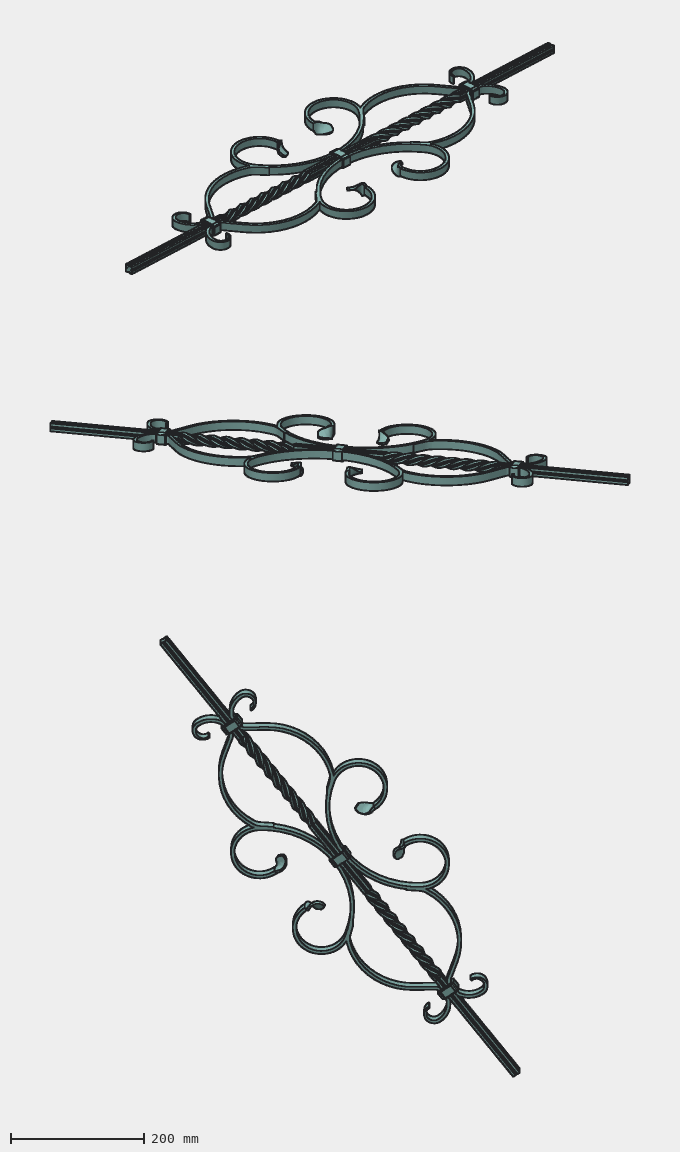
import cadquery as cq
import math

LENGTH = 900.0
WIDTH = 270.0

BAR_SIDE = 13.0
FLUTE_WIDTH = 4.0
FLUTE_DEPTH = 2.0
TWIST_START = 70.0
TWIST_LENGTH = 180.0
TWIST_TURNS = 2

STRIP_THICKNESS = 5.0
STRIP_HEIGHT = 13.5
STRIP_X = (BAR_SIDE + STRIP_THICKNESS) / 2

COLLAR_WIDTH = 30.0
COLLAR_HEIGHT = 20.0
COLLAR_BEVEL_WIDTH = 5.0
COLLAR_BEVEL_DEPTH = 3.0
END_COLLAR_RIM = 2.0
MIDDLE_COLLAR_LENGTH = 14.0
END_COLLAR_LENGTH = 16.0
END_COLLAR_Y = 275.0

SIDE_ARC_RADIUS = 135.0
SCROLL_RADIUS = 40.5
SCROLL_TURN = 270.0

LEAF_BEND_RADIUS = 22.0
LEAF_STATIONS = [(0, STRIP_HEIGHT, 0), (12, 21.0, 0), (35, 18.0, 40), (58, 16.0, 58), (75, 8.0, 62)]
LEAF_THICKNESS = 4.5

BULGE_START_Y = 267.0
BULGE_NECK_RADIUS = 8.0
BULGE_SLOPE = 55.0
BULGE_NECK_LENGTH = 32.0
BULGE_RADIUS = 99.0
BULGE_TURN = 78.0
BULGE_FOOT_RADIUS = 27.0
BULGE_FOOT_TURN = 27.0
BULGE_LAP_LENGTH = 20.0

CURL_START_Y = 286.0
CURL_NECK_RADIUS = 9.0
CURL_NECK_TURN = 30.0
CURL_SHOULDER_RADIUS = 34.0
CURL_RADIUS = 13.5
CURL_TURN = 185.0
CURL_END_THICKNESS = 3.0


def polar(center, radius, angle):
    """Point at a radius and an angle in degrees from a center."""
    turn = math.radians(angle)
    return (center[0] + radius * math.cos(turn), center[1] + radius * math.sin(turn))


def plate(outline):
    """Extrude a closed outline to the strip height, centered on Z = 0."""
    return outline.close().extrude(STRIP_HEIGHT / 2, both=True)


def straight(pose, length):
    """Straight strip from a pose (point, heading); returns the strip and its end pose."""
    point, heading = pose
    end = polar(point, length, heading)
    half = STRIP_THICKNESS / 2
    outline = cq.Workplane("XY").polyline([
        polar(point, half, heading + 90),
        polar(end, half, heading + 90),
        polar(end, half, heading - 90),
        polar(point, half, heading - 90),
    ])
    return plate(outline), (end, heading)


def bend(pose, radius, turn, thickness=STRIP_THICKNESS, end_thickness=STRIP_THICKNESS):
    """Strip bent to an arc, turning left for a positive turn; returns the strip and its end pose."""
    point, heading = pose
    side = math.copysign(90, turn)
    center = polar(point, radius, heading + side)
    first = heading - side
    angles = [first, first + turn / 2, first + turn]
    halves = [thickness / 2, (thickness + end_thickness) / 4, end_thickness / 2]
    outer = [polar(center, radius + half, angle) for half, angle in zip(halves, angles)]
    inner = [polar(center, radius - half, angle) for half, angle in zip(halves, angles)]
    outline = (
        cq.Workplane("XY")
        .moveTo(*outer[0])
        .threePointArc(outer[1], outer[2])
        .lineTo(*inner[2])
        .threePointArc(inner[1], inner[0])
    )
    return plate(outline), (polar(center, radius, angles[2]), heading + turn)


def leaf(pose):
    """Flared, twisted leaf that carries on from a strip end, turning right as it goes."""
    point, heading = pose
    center = polar(point, LEAF_BEND_RADIUS, heading - 90)
    sections = []
    for angle, width, twist in LEAF_STATIONS:
        place = polar(center, LEAF_BEND_RADIUS, heading + 90 - angle)
        along = polar((0, 0), 1, heading - angle)
        inward = polar((0, 0), 1, heading - angle - 90)
        lean = math.radians(twist)
        across = (inward[0] * math.cos(lean), inward[1] * math.cos(lean), -math.sin(lean))
        plane = cq.Plane(origin=(*place, 0), xDir=across, normal=(*along, 0))
        section = cq.Workplane(plane).rect(LEAF_THICKNESS, width)
        sections.append(section.wires().val())
    return cq.Workplane(cq.Solid.makeLoft(sections))


def c_scroll():
    """Half of the strip beside the bar, from mid-length out to its round scroll and leaf."""
    side_center_x = STRIP_X + SIDE_ARC_RADIUS
    scroll_center_x = (WIDTH - STRIP_THICKNESS) / 2 - SCROLL_RADIUS
    side_turn = math.degrees(math.acos(
        (side_center_x - scroll_center_x) / (SIDE_ARC_RADIUS - SCROLL_RADIUS)
    ))
    side, pose = bend(((STRIP_X, 0), 90), SIDE_ARC_RADIUS, -side_turn)
    scroll, pose = bend(pose, SCROLL_RADIUS, side_turn - SCROLL_TURN)
    return side.union(scroll).union(leaf(pose))


def bulge():
    """Strip that leaves the end collar, bulges outward and laps onto the C-scroll."""
    neck, pose = bend(((STRIP_X, BULGE_START_Y), -90), BULGE_NECK_RADIUS, BULGE_SLOPE)
    slope, pose = straight(pose, BULGE_NECK_LENGTH)
    belly, pose = bend(pose, BULGE_RADIUS, -BULGE_TURN)
    foot, pose = bend(pose, BULGE_FOOT_RADIUS, -BULGE_FOOT_TURN)
    lap, _ = straight(pose, BULGE_LAP_LENGTH)
    return neck.union(slope).union(belly).union(foot).union(lap)


def small_curl():
    """Strip through the end collar with a tapered curl at its end."""
    grip, pose = straight(((STRIP_X, BULGE_START_Y), 90), CURL_START_Y - BULGE_START_Y)
    neck, pose = bend(pose, CURL_NECK_RADIUS, -CURL_NECK_TURN)
    shoulder, pose = bend(pose, CURL_SHOULDER_RADIUS, CURL_NECK_TURN - 90)
    curl, _ = bend(pose, CURL_RADIUS, -CURL_TURN, STRIP_THICKNESS, CURL_END_THICKNESS)
    return grip.union(neck).union(shoulder).union(curl)


def scroll_frame():
    """Complete scrollwork on the +X side of the bar."""
    half = c_scroll().union(bulge()).union(small_curl())
    return half.union(half.mirror("XZ"))


def bar_section(start_y):
    """Square with a V-flute along the middle of each side, facing +Y."""
    half = BAR_SIDE / 2
    lip = FLUTE_WIDTH / 2
    points = []
    for quarter in range(4):
        turn = math.radians(90 * quarter)
        for u, v in [(half, -half), (half, -lip), (half - FLUTE_DEPTH, 0), (half, lip)]:
            points.append((
                u * math.cos(turn) - v * math.sin(turn),
                u * math.sin(turn) + v * math.cos(turn),
            ))
    plane = cq.Plane(origin=(0, start_y, 0), xDir=(1, 0, 0), normal=(0, 1, 0))
    return cq.Workplane(plane).polyline(points).close()


def fluted_bar():
    """Full-length bar: plain, twisted, plain, twisted, plain."""
    twist_end = TWIST_START + TWIST_LENGTH
    bar = bar_section(-TWIST_START).extrude(2 * TWIST_START)
    twist = bar_section(TWIST_START).twistExtrude(TWIST_LENGTH, 360 * TWIST_TURNS)
    tail = bar_section(twist_end).extrude(LENGTH / 2 - twist_end)
    for piece in (twist, tail):
        bar = bar.union(piece).union(piece.mirror("XZ"))
    return bar


def collar(length, center_y, rim):
    """Collar with beveled long edges and, where rim is above zero, chamfered end rims."""
    half_width = COLLAR_WIDTH / 2
    half_height = COLLAR_HEIGHT / 2
    flat_x = half_width - COLLAR_BEVEL_WIDTH
    flat_z = half_height - COLLAR_BEVEL_DEPTH
    outline = cq.Workplane("XZ").polyline([
        (half_width, -flat_z),
        (half_width, flat_z),
        (flat_x, half_height),
        (-flat_x, half_height),
        (-half_width, flat_z),
        (-half_width, -flat_z),
        (-flat_x, -half_height),
        (flat_x, -half_height),
    ])
    block = outline.close().extrude(length / 2, both=True)
    if rim > 0:
        block = block.faces("<Y or >Y").chamfer(rim)
    return block.translate((0, center_y, 0))


def collared_bar(frames):
    """Bar with its three collars, slotted where the strips pass through."""
    bar = fluted_bar()
    middle = collar(MIDDLE_COLLAR_LENGTH, 0, 0)
    ends = [collar(END_COLLAR_LENGTH, y, END_COLLAR_RIM) for y in (-END_COLLAR_Y, END_COLLAR_Y)]
    for ring in (middle, *ends):
        for frame in frames:
            ring = ring.cut(frame)
        bar = bar.union(ring)
    return bar


right_frame = scroll_frame()
left_frame = right_frame.mirror("YZ")
bar = collared_bar([right_frame, left_frame])

result = cq.Compound.makeCompound([
    bar.solids().val(),
    right_frame.solids().val(),
    left_frame.solids().val(),
])